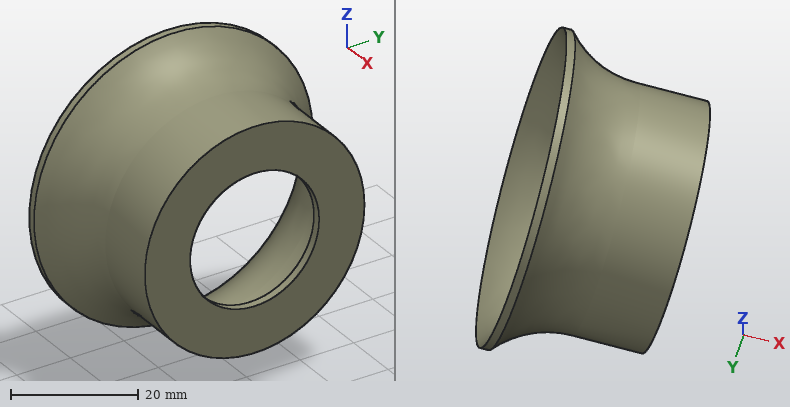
import cadquery as cq
import math

length = 25.0
rim_radius = 26.0
rim_width = 1.4

tube_radius = 20.5
wall = 1.5
bore_radius = tube_radius - wall
tube_start = 13.5
end_wall = 1.5
hole_radius = 12.0


def flare_arc(start_x, start_radius, end_radius):
    """Return mid and end points of an arc that runs tangent into the tube at tube_start."""
    run = tube_start - start_x
    rise = start_radius - end_radius
    arc_radius = (run**2 + rise**2) / (2 * rise)
    half_angle = math.asin(run / arc_radius) / 2
    middle = (
        tube_start - arc_radius * math.sin(half_angle),
        end_radius + arc_radius * (1 - math.cos(half_angle)),
    )
    return middle, (tube_start, end_radius)


outer_middle, outer_end = flare_arc(rim_width, rim_radius, tube_radius)
inner_middle, inner_end = flare_arc(0, rim_radius, bore_radius)

profile = (
    cq.Workplane("XY")
    .moveTo(0, rim_radius)
    .lineTo(rim_width, rim_radius)
    .threePointArc(outer_middle, outer_end)
    .lineTo(length, tube_radius)
    .lineTo(length, hole_radius)
    .lineTo(length - end_wall, hole_radius)
    .lineTo(length - end_wall, bore_radius)
    .lineTo(*inner_end)
    .threePointArc(inner_middle, (0, rim_radius))
    .close()
)

result = profile.revolve(360, (0, 0, 0), (1, 0, 0))